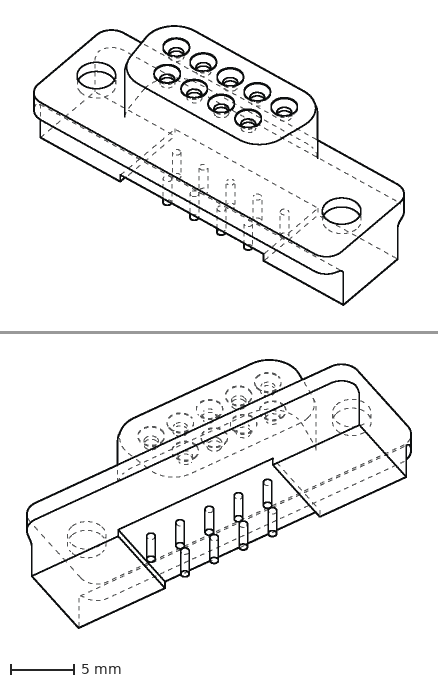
import cadquery as cq
import math

length = 30.9
flange_width = 10.4
flange_thickness = 1.88
flange_corner_radius = 1.5
flange_top = 5.95
flange_bottom = flange_top - flange_thickness

ear_hole_diameter = 3.05
ear_hole_depth = 1.0
ear_hole_spacing = 25.0

body_width = 6.85
body_fillet_radius = 0.75
notch_length = 14.58
notch_depth = 0.75

shell_width = 7.9
shell_corner_radius = 2.72
shell_wide_straight = 11.1
shell_side_angle = 10.0
shell_height = 6.18
shell_top = flange_top + shell_height
shell_foot_radius = 0.77
rim_height = 0.5
rim_inset = 0.15

contact_pitch = 2.75
row_spacing = 2.85
wide_row_count = 5
narrow_row_count = 4
socket_mouth_diameter = 2.1
socket_diameter = 1.17
socket_rim_depth = 0.1
socket_cone_bottom = 0.62
socket_depth = 1.0
pin_diameter = 0.68
pin_drop = 1.85

selection_margin = 0.03


def rounded_plate(bottom, thickness):
    plate = cq.Workplane("XY", origin=(0, 0, bottom)).rect(length, flange_width).extrude(thickness)
    return plate.edges("|Z").fillet(flange_corner_radius)


def make_body():
    half_width = body_width / 2
    flare = half_width + body_fillet_radius
    fillet_start = flange_bottom - body_fillet_radius
    arc_mid = body_fillet_radius * math.sqrt(0.5)
    block = (
        cq.Workplane("YZ", origin=(-length / 2, 0, 0))
        .moveTo(-half_width, 0)
        .lineTo(half_width, 0)
        .lineTo(half_width, fillet_start)
        .threePointArc((flare - arc_mid, fillet_start + arc_mid), (flare, flange_bottom))
        .lineTo(-flare, flange_bottom)
        .threePointArc((-flare + arc_mid, fillet_start + arc_mid), (-half_width, fillet_start))
        .close()
        .extrude(length)
    )
    notch = cq.Workplane("XY").rect(notch_length, flange_width).extrude(notch_depth)
    return block.intersect(rounded_plate(0, flange_bottom)).cut(notch)


def make_shell():
    centre_y = shell_width / 2 - shell_corner_radius
    wide_x = shell_wide_straight / 2
    narrow_x = wide_x - 2 * centre_y * math.tan(math.radians(shell_side_angle))
    corner_centres = [
        (-wide_x, centre_y),
        (wide_x, centre_y),
        (narrow_x, -centre_y),
        (-narrow_x, -centre_y),
    ]
    shell = (
        cq.Workplane("XY", origin=(0, 0, flange_top))
        .polyline(corner_centres)
        .close()
        .offset2D(shell_corner_radius)
        .extrude(shell_height)
    )
    return shell.faces(">Z").chamfer(rim_height, rim_inset)


def fillet_shell_foot(flanged_shell):
    reach_x = shell_wide_straight / 2 + shell_corner_radius + selection_margin
    reach_y = shell_width / 2 + selection_margin
    seam_box = cq.selectors.BoxSelector(
        (-reach_x, -reach_y, flange_top - selection_margin),
        (reach_x, reach_y, flange_top + selection_margin),
    )
    return flanged_shell.edges(seam_box).fillet(shell_foot_radius)


def make_ear_holes():
    return (
        cq.Workplane("XY", origin=(0, 0, flange_top))
        .pushPoints([(-ear_hole_spacing / 2, 0), (ear_hole_spacing / 2, 0)])
        .circle(ear_hole_diameter / 2)
        .extrude(-ear_hole_depth)
    )


def make_socket():
    mouth_radius = socket_mouth_diameter / 2
    bore_radius = socket_diameter / 2
    return (
        cq.Workplane("XZ")
        .lineTo(mouth_radius, 0)
        .lineTo(mouth_radius, -socket_rim_depth)
        .lineTo(bore_radius, -socket_cone_bottom)
        .lineTo(bore_radius, -socket_depth)
        .lineTo(0, -socket_depth)
        .close()
        .revolve(360, (0, 0, 0), (0, 1, 0))
    )


def make_pins(points):
    return (
        cq.Workplane("XY", origin=(0, 0, -pin_drop))
        .pushPoints(points)
        .circle(pin_diameter / 2)
        .extrude(pin_drop + notch_depth)
    )


def row_points(count, y):
    return [((i - (count - 1) / 2) * contact_pitch, y) for i in range(count)]


wide_row = row_points(wide_row_count, row_spacing / 2)
narrow_row = row_points(narrow_row_count, -row_spacing / 2)
contact_points = wide_row + narrow_row

flange = rounded_plate(flange_bottom, flange_thickness)
housing = fillet_shell_foot(flange.union(make_shell())).union(make_body())
housing = housing.cut(make_ear_holes())

socket = make_socket()
for x, y in contact_points:
    housing = housing.cut(socket.translate((x, y, shell_top)))

result = housing.union(make_pins(contact_points))